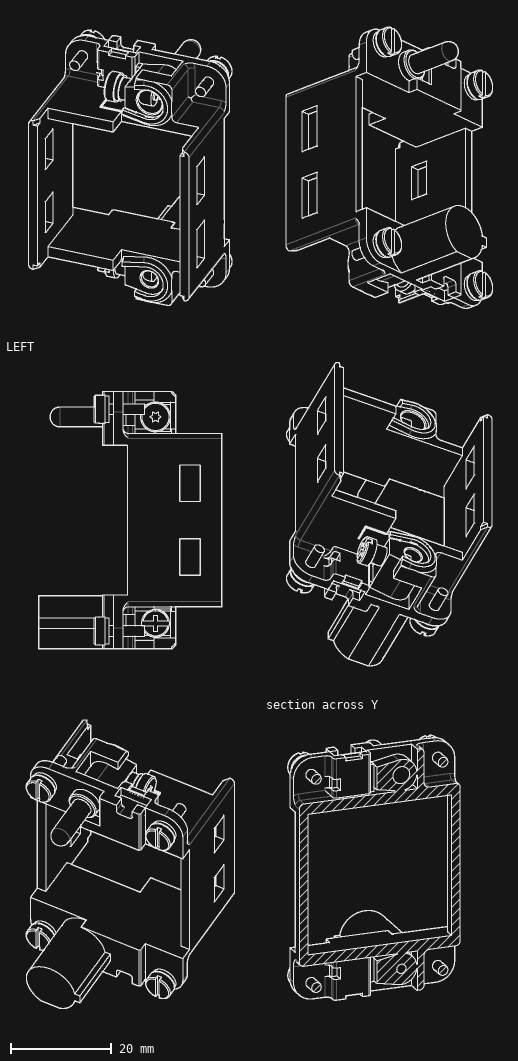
import cadquery as cq
import math


width = 34.3
height = 51.0
half_w = width / 2
half_h = height / 2
flange_thick = 1.95
corner_radius = 4.1
opening_half_h = 14.8
wall_half_h = 17.2
wall_thick = 1.95
inner_half_w = half_w - wall_thick
edge_radius = 1.0
side_wall_back_y = -0.85
side_wall_front_y = -19.6
long_wall_front_y = -14.0
short_wall_front_y = -9.65
wall_step_x = -1.3
end_notch_width = 0.9
end_notch_depth = 1.3
groove_width = 0.25
groove_depth = 0.15
groove_left_x = -5.9
groove_back_y = -6.1
groove_front_y = -9.65

left_window_length = 7.2
right_window_length = 8.8
window_depth = 4.0
window_z = 7.3
window_y = -13.25

block_left_x = -8.7
block_right_x = 0.6
block_back_y = 4.1
block_chamfer = 0.3
block_foot_top_z = 17.35
pocket_right_x = -1.9
pocket_front_y = -0.55
pocket_depth = 2.3
gap_left_x = -6.95
gap_right_x = -3.35
gap_fillet = 0.7

pad_left_x = -9.5
pad_right_x = -1.5
pad_front_y = -2.4
pad_edge = 0.5
pad_notch_depth = 0.7
pad_notch_back_y = -0.8
key_slot_right_x = -8.1
key_slot_ramp = 0.3
key_slot_back_y = -0.55
key_slot_low_z = 18.7
key_slot_high_z = 21.1
step_front_y = -1.55
step_top_z = 22.95

axis_x = 4.6
axis_z = 20.45
taper_angle = math.radians(11)
body_radius = 3.35
body_left_x = -0.6
body_front_y = -9.45
housing_left_x = 1.8
housing_right_x = 9.5
housing_wall_left_x = 7.95
housing_back_y = -6.1
collar_radius = 5.15
collar_left_x = -0.8
collar_height = 0.8
upper_bore_radius = 2.8
lower_bore_radius = 2.0
bore_chamfer = 0.2
bore_floor_y = -3.55
cone_angle = math.radians(59)

head_chamfer = 0.25
clamp_y = -6.45
clamp_head_x = -5.2
clamp_neck_x = -3.15
clamp_washer_x = -2.3
upper_head_radius = 2.95
upper_washer_radius = 2.6
upper_shank_radius = 2.25
lower_head_radius = 2.75
lower_shank_radius = 1.95
clamp_tip_radius = 1.0
clamp_tip_length = 0.3
clamp_slot_width = 1.0
clamp_recess_depth = 1.05
cross_slot_width = 0.85
cross_slot_length = 3.15
star_points = 6
star_tip_radius = 1.1
star_root_radius = 0.65

screw_x = 13.45
screw_z = 22.0
screw_shank_radius = 1.05
screw_tip_y = -4.3
screw_washer_y = 2.75
screw_head_y = 3.6
screw_top_y = 5.7
screw_washer_radius = 2.6
screw_head_radius = 2.8
screw_slot_width = 0.85
screw_slot_depth = 0.9

pin_radius = 2.0
pin_tip_y = 14.5
pin_base_radius = 3.05
pin_base_y = 3.65
pin_base_chamfer = 0.25
post_radius = 5.5
post_end_y = 16.75
post_key_left_x = -2.0
post_key_width = 2.1


def box(x0, x1, y0, y1, z0, z1):
    """Box between two opposite corners."""
    return cq.Workplane("XY").box(x1 - x0, y1 - y0, z1 - z0, centered=False).translate((x0, y0, z0))


def rod_y(x, z, radius, y0, y1):
    """Cylinder along Y."""
    return cq.Workplane("XZ", origin=(x, y0, z)).circle(radius).extrude(y0 - y1)


def rod_x(z, radius, x0, x1):
    """Cylinder along X at the height of the clamp screws."""
    return cq.Workplane("YZ", origin=(x0, clamp_y, z)).circle(radius).extrude(x1 - x0)


def teardrop(radius, left_x, back_y):
    """Round-nosed outline on the terminal axis, narrowing toward a flat left end."""
    tangent_x = -radius * math.sin(taper_angle)
    tangent_z = radius * math.cos(taper_angle)
    left = left_x - axis_x
    left_z = tangent_z - (tangent_x - left) * math.tan(taper_angle)
    return (
        cq.Workplane("XZ", origin=(axis_x, back_y, axis_z))
        .moveTo(left, -left_z)
        .lineTo(tangent_x, -tangent_z)
        .threePointArc((radius, 0), (tangent_x, tangent_z))
        .lineTo(left, left_z)
        .close()
    )


def flange():
    """Upper end of the flange, with rounded outer corners."""
    plate = box(-half_w, half_w, 0, flange_thick, opening_half_h, half_h)
    return plate.edges("|Y and >Z").fillet(corner_radius)


def cove(plane, origin, towards, length):
    """Concave fillet strip; towards gives the sides of the two faces in the plane's own axes."""
    u, v = towards
    bulge = edge_radius * (1 - math.sqrt(0.5))
    return (
        cq.Workplane(plane, origin=origin)
        .lineTo(u * edge_radius, 0)
        .threePointArc((u * bulge, v * bulge), (0, v * edge_radius))
        .close()
        .extrude(length)
    )


def root_fillet(x0, x1):
    """Concave fillet between the flange and the outside of the horizontal wall."""
    return cove("YZ", (x0, 0, wall_half_h), (-1, 1), x1 - x0)


def root_corner(x, z):
    """Concave fillet around a rounded outer corner whose centre is at x, z."""
    bulge = edge_radius * (1 - math.sqrt(0.5))
    ring = (
        cq.Workplane("XY")
        .moveTo(edge_radius, 0)
        .lineTo(2 * edge_radius, 0)
        .threePointArc((edge_radius + bulge, -bulge), (edge_radius, -edge_radius))
        .close()
        .revolve(360, (0, 0, 0), (0, 1, 0))
        .translate((x, 0, z))
    )
    quadrant = box(x, half_w, -edge_radius, 0, z, half_h)
    return ring.intersect(quadrant)


def horizontal_wall():
    """Wall above the opening: long on the left, short on the right."""
    long_part = box(-inner_half_w, wall_step_x, long_wall_front_y, 0, opening_half_h, wall_half_h)
    short_part = box(wall_step_x, inner_half_w, short_wall_front_y, 0, opening_half_h, wall_half_h)
    wall = long_part.union(short_part)
    wall = wall.union(root_fillet(-half_w + edge_radius, pad_left_x))
    wall = wall.union(root_fillet(housing_right_x, half_w - edge_radius))
    groove_floor_z = wall_half_h - groove_depth
    side_groove = box(
        groove_left_x, groove_left_x + groove_width, groove_front_y, groove_back_y,
        groove_floor_z, wall_half_h,
    )
    front_groove = box(
        groove_left_x, wall_step_x, groove_front_y, groove_front_y + groove_width,
        groove_floor_z, wall_half_h,
    )
    return wall.cut(side_groove).cut(front_groove)


def raised_block():
    """Block behind the flange from the opening to the top, with a low foot on its right."""
    block = box(block_left_x, block_right_x, 0, block_back_y, opening_half_h, half_h)
    block = block.edges("|Z and >Y").chamfer(block_chamfer)
    foot = box(pad_right_x, axis_x, 0, block_back_y, opening_half_h, block_foot_top_z)
    return block.union(foot)


def pad():
    """Pad on the mating face: filleted foot and rounded edge on the left, chamfer on the right."""
    bend = edge_radius * math.sqrt(0.5)
    return (
        cq.Workplane("XY", origin=(0, 0, opening_half_h))
        .moveTo(pad_left_x - edge_radius, 0)
        .threePointArc(
            (pad_left_x - edge_radius + bend, -edge_radius + bend),
            (pad_left_x, -edge_radius),
        )
        .lineTo(pad_left_x, pad_front_y + pad_edge)
        .radiusArc((pad_left_x + pad_edge, pad_front_y), -pad_edge)
        .lineTo(pad_right_x - pad_edge, pad_front_y)
        .lineTo(pad_right_x, pad_front_y + pad_edge)
        .lineTo(pad_right_x, 0)
        .close()
        .extrude(half_h - opening_half_h)
    )


def pad_cuts():
    """Top pocket, gap through the raised block, front notch and side key slot."""
    pocket_floor_z = half_h - pocket_depth
    pocket = box(block_left_x, pocket_right_x, pocket_front_y, flange_thick, pocket_floor_z, half_h)
    gap = box(gap_left_x, gap_right_x, 0, block_back_y, pocket_floor_z, half_h)
    gap = gap.edges("|Y and <Z").fillet(gap_fillet)
    notch = box(
        gap_left_x, gap_right_x, pad_front_y, pad_notch_back_y, half_h - pad_notch_depth, half_h
    )
    key_slot = (
        cq.Workplane("XY", origin=(0, 0, key_slot_low_z))
        .moveTo(pad_left_x - edge_radius, pad_front_y)
        .lineTo(pad_left_x - edge_radius, 0)
        .lineTo(pad_left_x, 0)
        .lineTo(pad_left_x + key_slot_ramp, key_slot_back_y)
        .lineTo(key_slot_right_x, key_slot_back_y)
        .lineTo(key_slot_right_x, pad_front_y)
        .close()
        .extrude(key_slot_high_z - key_slot_low_z)
    )
    return pocket.union(gap).union(notch).union(key_slot)


def housing_fillets():
    """Concave fillets at the foot of the terminal housing's right side."""
    corner_z = half_h - edge_radius
    flange_foot = cove("XY", (housing_right_x, 0, wall_half_h), (1, -1), corner_z - wall_half_h)
    wall_foot = cove("XZ", (housing_right_x, 0, wall_half_h), (1, 1), -short_wall_front_y)
    corner = root_corner(housing_right_x - edge_radius, corner_z)
    return flange_foot.union(wall_foot).union(corner)


def terminal_housing():
    """Clamp body with its side wall, front slab and bevelled collar."""
    collar_front_y = short_wall_front_y - collar_height
    body = teardrop(body_radius, body_left_x, 0).extrude(-body_front_y)
    side_wall = box(
        housing_wall_left_x, housing_right_x, short_wall_front_y, 0, opening_half_h, half_h
    )
    slab = box(
        housing_left_x, housing_right_x, short_wall_front_y, housing_back_y, wall_half_h, half_h
    )
    collar = teardrop(collar_radius, collar_left_x - 2 * collar_height, short_wall_front_y)
    collar = collar.extrude(collar_height, taper=45)
    collar = collar.intersect(
        box(collar_left_x, housing_right_x, collar_front_y, short_wall_front_y, 0, half_h)
    )
    collar = collar.cut(
        box(collar_left_x, housing_left_x, collar_front_y, short_wall_front_y, axis_z, half_h)
    )
    recess = teardrop(body_radius, collar_left_x, body_front_y).extrude(body_front_y - collar_front_y)
    shell = side_wall.union(slab).edges("|Y and >X and >Z").fillet(edge_radius)
    shell = shell.union(collar).cut(recess)
    step = box(pad_right_x, body_left_x, step_front_y, 0, wall_half_h, step_top_z)
    return shell.union(body).union(housing_fillets()).union(step)


def frame_end():
    """Everything the two ends of the frame have in common, built at the +Z end."""
    solid = flange().union(raised_block()).union(pad()).cut(pad_cuts())
    return solid.union(horizontal_wall()).union(terminal_housing())


def side_wall(window_length):
    """Right side wall with rounded outer edges, windows and notched inner corners."""
    wall = box(
        inner_half_w, half_w, side_wall_front_y, side_wall_back_y, -wall_half_h, wall_half_h
    )
    corners = box(inner_half_w, half_w, side_wall_back_y, 0, opening_half_h, wall_half_h)
    wall = wall.union(corners).union(corners.mirror("XY"))
    wall = wall.edges("|Y and >X and (>Z or <Z)").fillet(edge_radius)
    corner = root_corner(half_w - edge_radius, wall_half_h - edge_radius)
    wall = wall.union(corner).union(corner.mirror("XY"))
    notch = (
        cq.Workplane("XY", origin=(0, 0, wall_half_h - edge_radius))
        .moveTo(inner_half_w, side_wall_front_y)
        .lineTo(inner_half_w + end_notch_width, side_wall_front_y)
        .lineTo(inner_half_w, side_wall_front_y + end_notch_depth)
        .close()
        .extrude(edge_radius)
    )
    wall = wall.cut(notch).cut(notch.mirror("XY"))
    for z in (-window_z, window_z):
        window = cq.Workplane("XY").box(2 * wall_thick, window_depth, window_length)
        wall = wall.cut(window.translate((half_w, window_y, z)))
    return wall


def bore(z, radius):
    """Blind terminal bore with a chamfered mouth and a conical floor."""
    inner_radius = radius - bore_chamfer
    cone_depth = inner_radius / math.tan(cone_angle)
    profile = (
        cq.Workplane("XY")
        .moveTo(0, side_wall_front_y)
        .lineTo(radius, side_wall_front_y)
        .lineTo(radius, body_front_y)
        .lineTo(inner_radius, body_front_y + bore_chamfer)
        .lineTo(inner_radius, bore_floor_y)
        .lineTo(0, bore_floor_y + cone_depth)
        .close()
    )
    return profile.revolve(360, (0, 0, 0), (0, 1, 0)).translate((axis_x, 0, z))


def upper_clamp_screw():
    """Clamp screw with a washer face and a six-pointed star recess."""
    screw = rod_x(axis_z, upper_head_radius, clamp_head_x, clamp_neck_x)
    screw = screw.faces("<X").edges().chamfer(head_chamfer)
    screw = screw.union(rod_x(axis_z, upper_washer_radius, clamp_neck_x, clamp_washer_x))
    screw = screw.union(rod_x(axis_z, upper_shank_radius, clamp_washer_x, axis_x))
    screw = screw.union(rod_x(axis_z, clamp_tip_radius, axis_x, axis_x + clamp_tip_length))
    points = []
    for i in range(2 * star_points):
        radius = star_root_radius if i % 2 else star_tip_radius
        angle = math.pi * i / star_points
        points.append((radius * math.cos(angle), radius * math.sin(angle)))
    star = cq.Workplane("YZ", origin=(clamp_head_x, clamp_y, axis_z)).polyline(points).close()
    return screw.cut(star.extrude(clamp_recess_depth))


def lower_clamp_screw():
    """Clamp screw with a straight slot and a shorter cross slot."""
    screw = rod_x(-axis_z, lower_head_radius, clamp_head_x, clamp_neck_x)
    screw = screw.faces("<X").edges().chamfer(head_chamfer)
    screw = screw.union(rod_x(-axis_z, lower_shank_radius, clamp_neck_x, axis_x))
    slot = (
        cq.Workplane("YZ", origin=(clamp_head_x, clamp_y, -axis_z))
        .rect(2 * lower_head_radius, clamp_slot_width)
        .extrude(clamp_recess_depth)
    )
    cross = (
        cq.Workplane("YZ", origin=(clamp_head_x, clamp_y, -axis_z))
        .rect(cross_slot_width, cross_slot_length)
        .extrude(clamp_recess_depth)
    )
    return screw.cut(slot).cut(cross)


def mounting_screw(x, z):
    """Captive slotted screw through the flange."""
    head = rod_y(x, z, screw_head_radius, screw_head_y, screw_top_y)
    head = head.faces(">Y").edges().chamfer(head_chamfer)
    slot = cq.Workplane("XY").box(screw_slot_width, 2 * screw_slot_depth, 2 * screw_head_radius)
    head = head.cut(slot.translate((x, screw_top_y, z)))
    washer = rod_y(x, z, screw_washer_radius, screw_washer_y, screw_head_y)
    return head.union(washer).union(rod_y(x, z, screw_shank_radius, screw_tip_y, screw_head_y))


def guide_pin():
    """Round-ended pin on a wider base, behind the upper terminal."""
    pin = rod_y(axis_x, axis_z, pin_radius, 0, pin_tip_y - pin_radius)
    tip = cq.Workplane("XY").sphere(pin_radius).translate((axis_x, pin_tip_y - pin_radius, axis_z))
    base = rod_y(axis_x, axis_z, pin_base_radius, 0, pin_base_y)
    base = base.faces(">Y").edges().chamfer(pin_base_chamfer)
    return pin.union(tip).union(base)


def guide_post():
    """Large post with a key along its left side, cut off flush with the flange."""
    post = rod_y(axis_x, -axis_z, post_radius, 0, post_end_y)
    half_key = post_key_width / 2
    key = box(post_key_left_x, axis_x, 0, post_end_y, -axis_z - half_key, -axis_z + half_key)
    return post.union(key).intersect(box(-half_w, half_w, 0, post_end_y, -half_h, 0))


upper_end = frame_end()
left_wall = side_wall(left_window_length).mirror("YZ")
right_wall = side_wall(right_window_length)
result = upper_end.union(upper_end.mirror("XY"))
result = result.union(right_wall).union(left_wall)
result = result.cut(bore(axis_z, upper_bore_radius)).cut(bore(-axis_z, lower_bore_radius))
result = result.union(upper_clamp_screw()).union(lower_clamp_screw())
result = result.union(guide_pin()).union(guide_post())
for sx in (-1, 1):
    for sz in (-1, 1):
        result = result.union(mounting_screw(sx * screw_x, sz * screw_z))